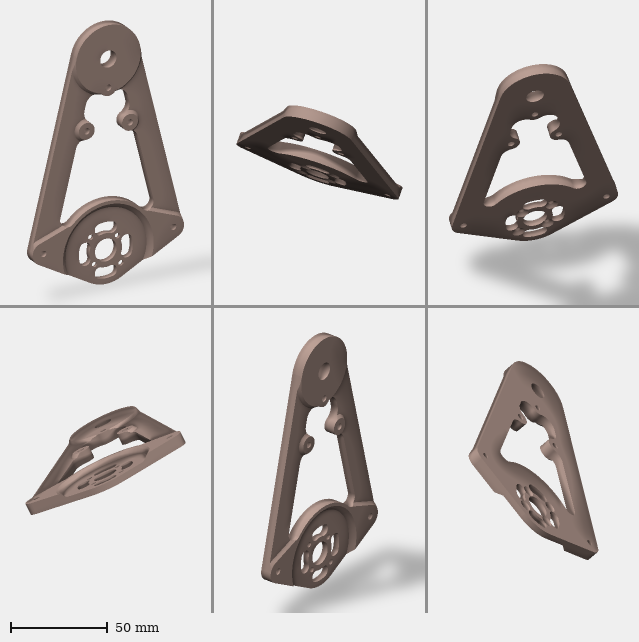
import cadquery as cq
import math


FULL_THICKNESS = 6.3
WEB_THICKNESS = 4.7
HUB_THICKNESS = 3.5
PAD_HEIGHT = FULL_THICKNESS - WEB_THICKNESS
SLOPE_ANGLE = 45

HUB = (0, 0)
HUB_OUTLINE_RADIUS = 19.0
PIVOT = (0, 108.3)
PIVOT_RADIUS = 19.0
PLATE_WIDTH = 88.9
CORNER_RADIUS = 6.3
CORNER_Y = PLATE_WIDTH / 2 - CORNER_RADIUS
CORNER_Z = 6.5
CORNERS = [(CORNER_Y, CORNER_Z), (-CORNER_Y, CORNER_Z)]

PIVOT_HOLE_DIAMETER = 9.5
SMALL_HOLE_DIAMETER = 3.5
BORE_DIAMETER = 12.7

BOSS_CIRCLE_Z = 77.6
BOSS_CIRCLE_RADIUS = 14.6
BOSS_RADIUS = 4.7
BOSSES = [
    (
        BOSS_CIRCLE_RADIUS * math.cos(math.radians(angle)),
        BOSS_CIRCLE_Z + BOSS_CIRCLE_RADIUS * math.sin(math.radians(angle)),
    )
    for angle in (90, 210, 330)
]

RIM_WIDTH = 12.7
WINDOW_HUB_RADIUS = 28.5
WINDOW_FILLET = 6.3
WINDOW_CORNER_RADIUS = 4.0

BRIDGE_HUB_RADIUS = 25.5
RECESS_FLOOR_RADIUS = 23.9
SLOT_INNER_RADIUS = 9.5
SLOT_OUTER_RADIUS = 15.8
SLOT_LENGTH = 12.9
SLOT_END_RADIUS = 3.0
SCREW_DIAMETER = 3.0
SCREW_HEAD_DIAMETER = 6.6
SCREW_HEAD_ANGLE = 90
SHORT_SCREW_RADIUS = 9.5
LONG_SCREW_RADIUS = 12.6


def offset_point(point, direction, distance):
    """Point moved a distance along a unit direction."""
    return (point[0] + distance * direction[0], point[1] + distance * direction[1])


def unit(start, end):
    """Unit direction from one point to another."""
    length = math.dist(start, end)
    return ((end[0] - start[0]) / length, (end[1] - start[1]) / length)


def arc_middle(center, radius, start, end):
    """Middle of the shorter arc between two points of a circle."""
    chord_middle = ((start[0] + end[0]) / 2, (start[1] + end[1]) / 2)
    return offset_point(center, unit(center, chord_middle), radius)


def tangent_normal(first, second):
    """Outward normal of the counter-clockwise tangent from one (centre, radius) circle to the next."""
    (start, start_radius), (end, end_radius) = first, second
    heading = math.atan2(end[1] - start[1], end[0] - start[0])
    angle = heading - math.acos((start_radius - end_radius) / math.dist(start, end))
    return (math.cos(angle), math.sin(angle))


def belt(circles, x):
    """Closed belt around counter-clockwise (centre, radius) circles."""
    count = len(circles)
    normals = [tangent_normal(circles[i], circles[(i + 1) % count]) for i in range(count)]
    path = cq.Workplane("YZ", origin=(x, 0, 0))
    path = path.moveTo(*offset_point(circles[0][0], normals[-1], circles[0][1]))
    for i, (center, radius) in enumerate(circles):
        start = offset_point(center, normals[i - 1], radius)
        end = offset_point(center, normals[i], radius)
        if i > 0:
            path = path.lineTo(*start)
        path = path.threePointArc(arc_middle(center, radius, start, end), end)
    return path.close()


def disc(center, radius, x):
    """Circle at height x."""
    return cq.Workplane("YZ", origin=(x, 0, 0)).center(*center).circle(radius)


def drill(centers, diameter):
    """Through cylinders at the given centres."""
    return cq.Workplane("YZ").pushPoints(centers).circle(diameter / 2).extrude(FULL_THICKNESS)


def sloped_pad(profile):
    """Pad below its top profile, widening at the slope angle down to the web face."""
    return profile.extrude(-PAD_HEIGHT, taper=-SLOPE_ANGLE)


def on_line_at_distance(normal, offset, point, distance):
    """Lower and upper points of the line normal . p = offset at a distance from a point."""
    gap = offset - normal[0] * point[0] - normal[1] * point[1]
    foot = offset_point(point, normal, gap)
    along = (-normal[1], normal[0])
    half_chord = math.sqrt(distance**2 - gap**2)
    return offset_point(foot, along, -half_chord), offset_point(foot, along, half_chord)


def window():
    """Window inside the rim, with rounded lobes flowing around the three bosses and the hub."""
    normal = tangent_normal((CORNERS[0], CORNER_RADIUS), (PIVOT, PIVOT_RADIUS))
    flank = normal[1] * PIVOT[1] + PIVOT_RADIUS - RIM_WIDTH
    top_boss, _, side_boss = BOSSES
    reach = BOSS_RADIUS + WINDOW_FILLET
    fillet_line = flank - WINDOW_FILLET

    _, corner = on_line_at_distance(
        normal, flank - WINDOW_CORNER_RADIUS, HUB, WINDOW_HUB_RADIUS + WINDOW_CORNER_RADIUS
    )
    below, above = on_line_at_distance(normal, fillet_line, side_boss, reach)
    lobe, _ = on_line_at_distance(normal, fillet_line, top_boss, reach)

    hub_end = offset_point(HUB, unit(HUB, corner), WINDOW_HUB_RADIUS)
    boss_low = offset_point(side_boss, unit(side_boss, below), BOSS_RADIUS)
    boss_high = offset_point(side_boss, unit(side_boss, above), BOSS_RADIUS)
    top_end = offset_point(top_boss, unit(top_boss, lobe), BOSS_RADIUS)
    arcs = [
        (HUB, WINDOW_HUB_RADIUS, (0, WINDOW_HUB_RADIUS), hub_end),
        (corner, WINDOW_CORNER_RADIUS, hub_end, offset_point(corner, normal, WINDOW_CORNER_RADIUS)),
        (below, WINDOW_FILLET, offset_point(below, normal, WINDOW_FILLET), boss_low),
        (side_boss, BOSS_RADIUS, boss_low, boss_high),
        (above, WINDOW_FILLET, boss_high, offset_point(above, normal, WINDOW_FILLET)),
        (lobe, WINDOW_FILLET, offset_point(lobe, normal, WINDOW_FILLET), top_end),
        (top_boss, BOSS_RADIUS, top_end, (0, top_boss[1] - BOSS_RADIUS)),
    ]
    path = cq.Workplane("YZ").moveTo(*arcs[0][2])
    previous = arcs[0][2]
    for center, radius, start, end in arcs:
        if start != previous:
            path = path.lineTo(*start)
        path = path.threePointArc(arc_middle(center, radius, start, end), end)
        previous = end
    half = path.close().extrude(FULL_THICKNESS)
    return half.union(half.mirror("XZ"))


def hub_slots():
    """Four curved slots around the bore."""
    ring = disc(HUB, SLOT_OUTER_RADIUS, 0).circle(SLOT_INNER_RADIUS).extrude(FULL_THICKNESS)
    bar = cq.Workplane("YZ").rect(SLOT_LENGTH, 2 * SLOT_OUTER_RADIUS).extrude(FULL_THICKNESS)
    upright = ring.intersect(bar).edges("|X").fillet(SLOT_END_RADIUS)
    return upright.union(upright.rotate((0, 0, 0), (1, 0, 0), 90))


def hub_screws():
    """Two diagonal pairs of screw holes, countersunk from the flat face."""
    short = SHORT_SCREW_RADIUS * math.sqrt(0.5)
    long = LONG_SCREW_RADIUS * math.sqrt(0.5)
    centers = [(short, short), (-short, -short), (-long, long), (long, -long)]
    tools = drill(centers, SCREW_DIAMETER)
    head_radius = SCREW_HEAD_DIAMETER / 2
    screw_radius = SCREW_DIAMETER / 2
    depth = (head_radius - screw_radius) / math.tan(math.radians(SCREW_HEAD_ANGLE / 2))
    for center in centers:
        tools = tools.union(disc(center, head_radius, 0).extrude(depth, taper=SCREW_HEAD_ANGLE / 2))
    return tools


outline = [
    (HUB, HUB_OUTLINE_RADIUS),
    (CORNERS[0], CORNER_RADIUS),
    (PIVOT, PIVOT_RADIUS),
    (CORNERS[1], CORNER_RADIUS),
]
bridge = [
    (HUB, BRIDGE_HUB_RADIUS),
    (CORNERS[0], CORNER_RADIUS),
    (HUB, BRIDGE_HUB_RADIUS),
    (CORNERS[1], CORNER_RADIUS),
]
pads = sloped_pad(disc(PIVOT, PIVOT_RADIUS, FULL_THICKNESS))
pads = pads.union(sloped_pad(disc(HUB, WINDOW_HUB_RADIUS, FULL_THICKNESS)))
pads = pads.union(sloped_pad(belt(bridge, FULL_THICKNESS)))
for boss in BOSSES:
    pads = pads.union(sloped_pad(disc(boss, BOSS_RADIUS, FULL_THICKNESS)))
pads = pads.intersect(belt(outline, 0).extrude(FULL_THICKNESS))
plate = belt(outline, 0).extrude(WEB_THICKNESS).union(pads)

recess_depth = FULL_THICKNESS - HUB_THICKNESS
recess = disc(HUB, RECESS_FLOOR_RADIUS, HUB_THICKNESS).extrude(recess_depth, taper=-SLOPE_ANGLE)

plate = plate.cut(recess).cut(window())
plate = plate.cut(drill([PIVOT], PIVOT_HOLE_DIAMETER))
plate = plate.cut(drill(BOSSES + CORNERS, SMALL_HOLE_DIAMETER))
plate = plate.cut(drill([HUB], BORE_DIAMETER))
result = plate.cut(hub_slots()).cut(hub_screws())